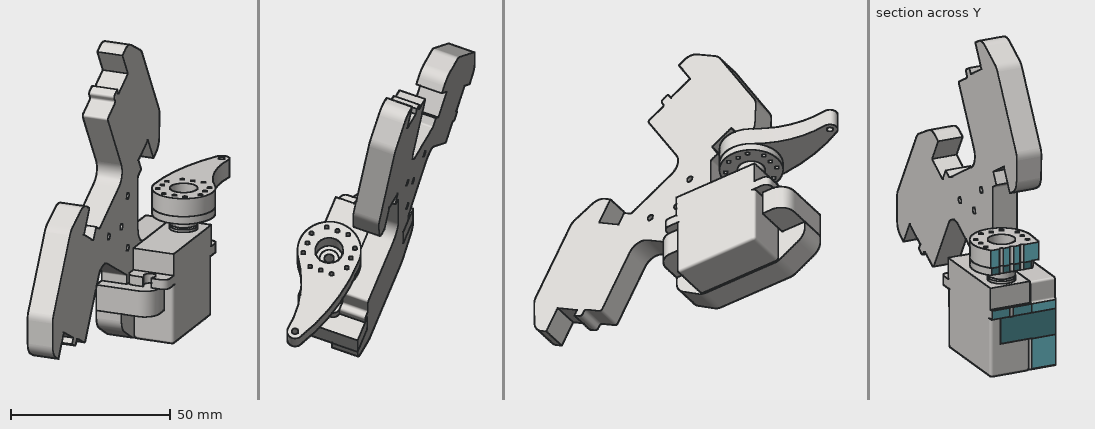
import cadquery as cq
import math


plate_thickness = 8.65
arm_count = 3
arm_angle = 360 / arm_count
hole_circle_radius = 10.0
plate_hole_diameter = 2.0
neck_offset = 13.05
ledge_z = -10.25
arm_end_z = -40.53
arm_width = 48.9
shoulder_y = 39.75
bump_y = 42.3
step_y = 4.3

neck_fillet = 5.0
small_fillet = 0.75
bump_fillet = 0.9
corner_fillet = 5.0
bevel_height = 6.15
far_bevel_length = 10.4
near_bevel_length = 9.7

servo_width = 13.8
servo_y_center = 24.3
servo_body_length = 29.8
servo_flange_length = 2 * (servo_y_center - step_y)
flange_top_z = -17.45
flange_bottom_z = -20.6
servo_edge_fillet = 1.0
flange_corner_fillet = 2.2
slot_diameter = 3.9
slot_mouth_width = 3.0
slot_inset = 2.15

servo_axis_x = plate_thickness + servo_width / 2
servo_axis_y = 33.22
boss_diameter = 9.0
boss_height = 0.85
shaft_diameter = 6.0
screw_hole_diameter = 3.0
screw_hole_depth = 6.0

block_width = 8.65
block_height = 8.55
block_length = 19.5
block_fillet = 5.0
block_bottom_z = flange_bottom_z - block_height
block_starts_y = (0, arm_width - block_width)

horn_diameter = 20.0
horn_disc_thickness = 2.5
hub_diameter = 8.75
hub_height = 3.25
horn_top_z = -3.0
lever_thickness = 6.0
lever_bore_diameter = hub_diameter
lever_length = 30.0
lever_tip_radius = 2.5
lever_tip_hole_diameter = 2.0
lever_hollow_radius = 34.0
pin_hole_diameter = 1.3
pin_hole_pitch = 3.6
pin_row_offset = 7.3


def rotated(point, degrees):
    """Point turned counter-clockwise about the origin."""
    angle = math.radians(degrees)
    y, z = point
    return (y * math.cos(angle) - z * math.sin(angle), y * math.sin(angle) + z * math.cos(angle))


def toward(start, end, distance):
    """Point at a distance from start on the line to end."""
    length = math.dist(start, end)
    return tuple(a + (b - a) * distance / length for a, b in zip(start, end))


def rounded_polygon(workplane, corners):
    """Close an outline of (point, radius) corners; a zero radius stays sharp."""
    outline = None
    for index, (corner, radius) in enumerate(corners):
        previous = corners[index - 1][0]
        following = corners[(index + 1) % len(corners)][0]
        back = toward(corner, previous, 1)
        ahead = toward(corner, following, 1)
        half_angle = math.asin(math.dist(back, ahead) / 2)
        setback = radius / math.tan(half_angle)
        arc_start = toward(corner, previous, setback)
        if outline is None:
            outline = workplane.moveTo(*arc_start)
        else:
            outline = outline.lineTo(*arc_start)
        if radius:
            bisector = ((back[0] + ahead[0]) / 2, (back[1] + ahead[1]) / 2)
            arc_middle = toward(corner, bisector, radius / math.sin(half_angle) - radius)
            outline = outline.threePointArc(arc_middle, toward(corner, following, setback))
    return outline.close()


def arm_corners():
    """Corners (y, z) and their radii for the arm that carries the servo."""
    notch_far_y = arm_width - block_width
    bevel_z = arm_end_z + bevel_height
    neck_slope = math.radians(arm_angle - 90)
    step_z = -(neck_offset + step_y * math.sin(neck_slope)) / math.cos(neck_slope)
    return [
        ((neck_offset, ledge_z), neck_fillet),
        ((shoulder_y, ledge_z), small_fillet),
        ((shoulder_y, flange_top_z), small_fillet),
        ((bump_y, flange_top_z), bump_fillet),
        ((bump_y, flange_bottom_z), 0),
        ((notch_far_y, flange_bottom_z), 0),
        ((notch_far_y, block_bottom_z), 0),
        ((arm_width, block_bottom_z), 0),
        ((arm_width, bevel_z), corner_fillet),
        ((arm_width - far_bevel_length, arm_end_z), corner_fillet),
        ((near_bevel_length, arm_end_z), corner_fillet),
        ((0, bevel_z), corner_fillet),
        ((0, block_bottom_z), 0),
        ((block_width, block_bottom_z), 0),
        ((block_width, flange_bottom_z), 0),
        ((step_y, flange_bottom_z), 0),
        ((step_y, step_z), small_fillet),
    ]


def make_plate():
    """Three identical arms around the hub, with four small through holes."""
    corners = []
    for arm in range(arm_count):
        turn = -arm_angle * arm
        corners += [(rotated(point, turn), radius) for point, radius in arm_corners()]
    holes = [(0, 0)]
    holes += [rotated((-hole_circle_radius, 0), arm_angle * arm) for arm in range(arm_count)]
    plate = rounded_polygon(cq.Workplane("YZ"), corners).extrude(plate_thickness)
    drill = cq.Workplane("YZ").pushPoints(holes).circle(plate_hole_diameter / 2).extrude(plate_thickness)
    return plate.cut(drill)


def cylinder(diameter, bottom_z, height):
    """Upright cylinder on the servo shaft axis."""
    base = cq.Workplane("XY", origin=(servo_axis_x, servo_axis_y, bottom_z))
    return base.circle(diameter / 2).extrude(height)


def make_servo():
    """Case with slotted flange ears, top boss and output shaft."""
    base = cq.Workplane("XY", origin=(servo_axis_x, servo_y_center, 0))
    lower = base.workplane(offset=arm_end_z).rect(servo_width, servo_body_length)
    lower = lower.extrude(flange_bottom_z - arm_end_z)
    lower = lower.edges("|Z or <Z").fillet(servo_edge_fillet)
    upper = base.workplane(offset=flange_top_z).rect(servo_width, servo_body_length)
    upper = upper.extrude(ledge_z - flange_top_z)
    flange_thickness = flange_top_z - flange_bottom_z
    flange_base = base.workplane(offset=flange_bottom_z)
    flange = flange_base.rect(servo_width, servo_flange_length).extrude(flange_thickness)
    flange = flange.edges("|Z").fillet(flange_corner_fillet)
    for side in (-1, 1):
        slot_y = side * (servo_flange_length / 2 - slot_inset)
        mouth_y = slot_y + side * slot_inset / 2
        slot = flange_base.center(0, slot_y).circle(slot_diameter / 2).extrude(flange_thickness)
        mouth = flange_base.center(0, mouth_y).rect(slot_mouth_width, slot_inset).extrude(flange_thickness)
        flange = flange.cut(slot).cut(mouth)
    boss = cylinder(boss_diameter, ledge_z, boss_height)
    shaft = cylinder(shaft_diameter, ledge_z, horn_top_z - ledge_z)
    screw_hole = cylinder(screw_hole_diameter, horn_top_z - screw_hole_depth, screw_hole_depth)
    return lower.union(flange).union(upper).union(boss).union(shaft).cut(screw_hole)


def make_block(start_y):
    """Lock block through the plate notch, rounded at its outer free end."""
    block = cq.Workplane("XY").box(block_length, block_width, block_height, centered=False)
    block = block.translate((0, start_y, block_bottom_z))
    outer_edge = ">X and >Y" if start_y else ">X and <Y"
    return block.edges("|Z and " + outer_edge).fillet(block_fillet)


def pin_holes(bottom_z, height):
    """Rows of three pin holes along the four sides of a square around the shaft axis."""
    points = []
    for side in range(4):
        for step in (-1, 0, 1):
            points.append(rotated((pin_row_offset, step * pin_hole_pitch), 90 * side))
    base = cq.Workplane("XY", origin=(servo_axis_x, servo_axis_y, bottom_z))
    return base.pushPoints(points).circle(pin_hole_diameter / 2).extrude(height)


def make_horn():
    """Disc and hub bored for the servo shaft."""
    disc_z = horn_top_z - horn_disc_thickness
    disc = cylinder(horn_diameter, disc_z, horn_disc_thickness)
    hub = cylinder(hub_diameter, disc_z - hub_height, hub_height)
    bore = cylinder(shaft_diameter, disc_z - hub_height, hub_height + horn_disc_thickness)
    return disc.union(hub).cut(bore).cut(pin_holes(disc_z, horn_disc_thickness))


def make_lever():
    """Claw-shaped lever lying on the horn disc."""
    root = horn_diameter / 2
    tip = (0, lever_length)

    back_radius = (root**2 + lever_length**2 - lever_tip_radius**2) / (2 * (root - lever_tip_radius))
    back_center = (back_radius - root, 0)
    back_end = toward(back_center, tip, back_radius)
    back_middle = toward(back_center, ((back_end[0] - root) / 2, back_end[1] / 2), back_radius)

    root_distance = lever_hollow_radius + root
    tip_distance = lever_hollow_radius + lever_tip_radius
    hollow_y = (root_distance**2 - tip_distance**2 + lever_length**2) / (2 * lever_length)
    hollow_center = (math.sqrt(root_distance**2 - hollow_y**2), hollow_y)
    hollow_start = toward((0, 0), hollow_center, root)
    hollow_end = toward(tip, hollow_center, lever_tip_radius)
    chord_middle = tuple((a + b) / 2 for a, b in zip(hollow_start, hollow_end))
    hollow_middle = toward(hollow_center, chord_middle, lever_hollow_radius)

    base = cq.Workplane("XY", origin=(servo_axis_x, servo_axis_y, horn_top_z))
    outline = base.moveTo(-root, 0).threePointArc((0, -root), hollow_start)
    outline = outline.threePointArc(hollow_middle, hollow_end)
    outline = outline.threePointArc((0, lever_length + lever_tip_radius), back_end)
    lever = outline.threePointArc(back_middle, (-root, 0)).close().extrude(lever_thickness)

    tip_hole = base.center(*tip).circle(lever_tip_hole_diameter / 2).extrude(lever_thickness)
    bore = cylinder(lever_bore_diameter, horn_top_z, lever_thickness)
    return lever.cut(tip_hole).cut(bore).cut(pin_holes(horn_top_z, lever_thickness))


plate = make_plate()
servo = make_servo()
horn = make_horn()
lever = make_lever()
blocks = [make_block(start_y) for start_y in block_starts_y]

bodies = [plate, servo, horn, lever, *blocks]
result = cq.Compound.makeCompound([body.solids().val() for body in bodies])